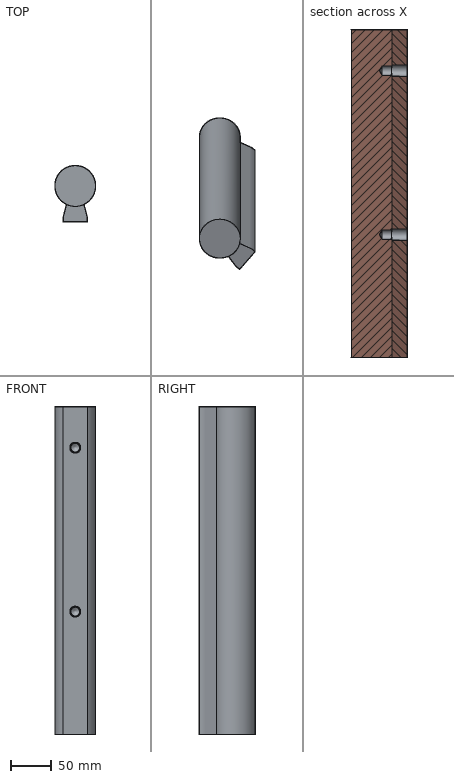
import cadquery as cq
import math

length = 406.5
rod_diameter = 51.0
overall_depth = 70.0
rod_radius = rod_diameter / 2
base_y = rod_radius - overall_depth

base_width = 30.0
foot_height = 4.0
blend_height = 7.7
neck_width = 22.0

hole_diameter = 11.0
rail_hole_diameter = 13.5
hole_depth_in_rod = 12.0
drill_point_angle = 118.0
hole_pitch = 203.0
first_hole_z = 152.5
hole_heights = [first_hole_z, first_hole_z + hole_pitch]


def make_rod():
    """Round rod with blind, cone-ended holes facing the rail."""
    rod = cq.Workplane("XY").circle(rod_radius).extrude(length)
    hole_radius = hole_diameter / 2
    hole_end_y = -rod_radius + hole_depth_in_rod
    point_length = hole_radius / math.tan(math.radians(drill_point_angle / 2))
    for height in hole_heights:
        hole = (
            cq.Workplane("XY", origin=(0, 0, height))
            .moveTo(0, base_y)
            .lineTo(hole_radius, base_y)
            .lineTo(hole_radius, hole_end_y)
            .lineTo(0, hole_end_y + point_length)
            .close()
            .revolve(360, (0, 0, 0), (0, 1, 0))
        )
        rod = rod.cut(hole)
    return rod


def make_rail():
    """Tapered rail with a round seat that fits the rod."""
    seat_bottom_y = -rod_radius
    half_base = base_width / 2
    half_neck = neck_width / 2
    neck_y = -math.sqrt(rod_radius**2 - half_neck**2)
    foot_y = base_y + foot_height
    blend_y = base_y + blend_height

    blend_rise = blend_y - foot_y
    flank_rise = neck_y - blend_y
    total_run = half_base - half_neck
    half_tangent = math.tan(math.atan2(total_run, flank_rise + blend_rise / 2) / 2)
    blend_inset = blend_rise * half_tangent

    rail = (
        cq.Workplane("XY")
        .moveTo(-half_base, base_y)
        .lineTo(half_base, base_y)
        .lineTo(half_base, foot_y)
        .tangentArcPoint((half_base - blend_inset, blend_y), relative=False)
        .lineTo(half_neck, neck_y)
        .threePointArc((0, seat_bottom_y), (-half_neck, neck_y))
        .lineTo(-half_base + blend_inset, blend_y)
        .tangentArcPoint((-half_base, foot_y), relative=False)
        .close()
        .extrude(length)
    )
    for height in hole_heights:
        hole = (
            cq.Workplane("XZ", origin=(0, base_y, height))
            .circle(rail_hole_diameter / 2)
            .extrude(-overall_depth)
        )
        rail = rail.cut(hole)
    return rail


rod = make_rod()
rail = make_rail()

result = cq.Compound.makeCompound([rod.val(), rail.val()])